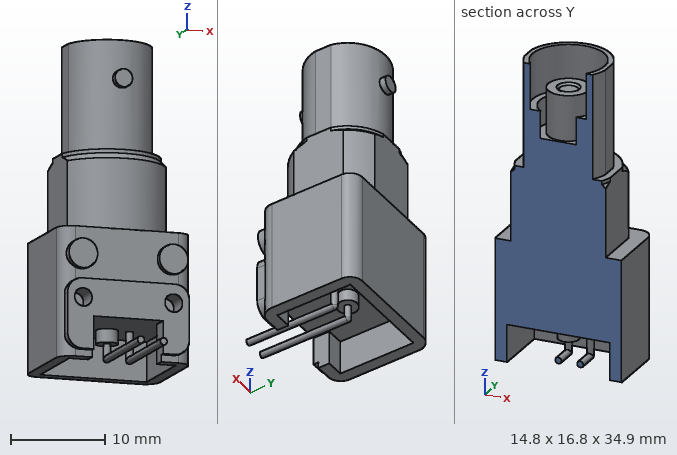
import cadquery as cq


HOUSING_WIDTH = 14.77
HOUSING_HEIGHT = 14.1
HOUSING_BACK = 5.75
HOUSING_CORNER_RADIUS = 1.6

COLLAR_RADIUS = 6.4
COLLAR_FLAT = 5.55
COLLAR_TOP = 22.87
RIM_RADIUS = 5.75
RIM_HEIGHT = 0.42
COLLAR_CHAMFER_HEIGHT = 0.65

TOTAL_HEIGHT = 34.92
BARREL_RADIUS = 4.82
BARREL_FLAT = 4.7
BAYONET_RADIUS = 0.98
BAYONET_REACH = 5.48
BAYONET_HEIGHT = 30.7

BORE_RADIUS = 4.2
BORE_DEPTH = 5.25
INNER_BORE_RADIUS = 3.35
INNER_BORE_DEPTH = 8.38
POST_RADIUS = 2.37
POST_RECESS = 3.15
SOCKET_MOUTH_RADIUS = 1.3
SOCKET_RADIUS = 1.05
SOCKET_CHAMFER_DEPTH = SOCKET_MOUTH_RADIUS - SOCKET_RADIUS

HOUSING_FRONT = -COLLAR_RADIUS
PAD_THICKNESS = 0.63
PAD_FACE = HOUSING_FRONT - PAD_THICKNESS
PAD_ROOT = HOUSING_FRONT + HOUSING_CORNER_RADIUS
FASTENER_SPACING = 10.15
PAD_RADIUS = 1.6
PAD_HEIGHT = 11.1
PLATE_WIDTH = 13.7
PLATE_BOTTOM = 0.77
PLATE_TOP = 8.38
PLATE_CORNER_RADIUS = 1.6
HOLE_RADIUS = 0.98
HOLE_HEIGHT = 6.32
HOLE_DEPTH = 2.8

WALL_THICKNESS = 1.4
NOTCH_WIDTH = 7.8
CAVITY_HEIGHT = 4.33

TERMINAL_RADIUS = 0.4
TERMINAL_HEIGHT = 1.25
TERMINAL_PITCH = 2.55
OVERALL_DEPTH = 16.8
TERMINAL_TIP = HOUSING_BACK - OVERALL_DEPTH
SLEEVE_RADIUS = 1.2
SLEEVE_BOTTOM = 2.85
ROOT_OVERLAP = 0.35


def box_between(x_range, y_range, z_range):
    """Axis-aligned block between the given limits."""
    sizes = [high - low for low, high in (x_range, y_range, z_range)]
    corner = (x_range[0], y_range[0], z_range[0])
    return cq.Workplane("XY").box(*sizes, centered=False).translate(corner)


def upright_cylinder(radius, bottom, top, x=0):
    """Cylinder parallel to Z, on the plane y = 0."""
    return cq.Workplane("XY", origin=(x, 0, bottom)).circle(radius).extrude(top - bottom)


def forward_cylinder(radius, x, z, back, front):
    """Cylinder parallel to Y, running from back toward -Y to front."""
    return cq.Workplane("XZ", origin=(x, back, z)).circle(radius).extrude(back - front)


def make_housing():
    half_width = HOUSING_WIDTH / 2
    block = box_between((-half_width, half_width), (HOUSING_FRONT, HOUSING_BACK), (0, HOUSING_HEIGHT))
    return block.edges("|Z").fillet(HOUSING_CORNER_RADIUS)


def make_collar():
    rim_bottom = COLLAR_TOP - RIM_HEIGHT
    chamfer_bottom = rim_bottom - COLLAR_CHAMFER_HEIGHT
    turned = (
        cq.Workplane("XZ")
        .moveTo(0, HOUSING_HEIGHT)
        .lineTo(COLLAR_RADIUS, HOUSING_HEIGHT)
        .lineTo(COLLAR_RADIUS, chamfer_bottom)
        .lineTo(RIM_RADIUS, rim_bottom)
        .lineTo(RIM_RADIUS, COLLAR_TOP)
        .lineTo(0, COLLAR_TOP)
        .close()
        .revolve(360, (0, 0), (0, 1))
    )
    flats = box_between(
        (-COLLAR_FLAT, COLLAR_FLAT), (-COLLAR_RADIUS, COLLAR_FLAT), (HOUSING_HEIGHT, COLLAR_TOP)
    )
    return turned.intersect(flats)


def make_barrel():
    tube = upright_cylinder(BARREL_RADIUS, COLLAR_TOP, TOTAL_HEIGHT)
    flats = box_between(
        (-BARREL_FLAT, BARREL_FLAT), (-BARREL_RADIUS, BARREL_RADIUS), (COLLAR_TOP, TOTAL_HEIGHT)
    )
    pins = forward_cylinder(BAYONET_RADIUS, 0, BAYONET_HEIGHT, BAYONET_REACH, -BAYONET_REACH)
    return tube.intersect(flats).union(pins)


def make_bore():
    outer = upright_cylinder(BORE_RADIUS, TOTAL_HEIGHT - BORE_DEPTH, TOTAL_HEIGHT)
    inner = upright_cylinder(INNER_BORE_RADIUS, TOTAL_HEIGHT - INNER_BORE_DEPTH, TOTAL_HEIGHT)
    return outer.union(inner)


def make_post():
    post_top = TOTAL_HEIGHT - POST_RECESS
    post = upright_cylinder(POST_RADIUS, TOTAL_HEIGHT - INNER_BORE_DEPTH - ROOT_OVERLAP, post_top)
    mouth = (
        cq.Workplane("XY", origin=(0, 0, post_top))
        .circle(SOCKET_MOUTH_RADIUS)
        .workplane(offset=-SOCKET_CHAMFER_DEPTH)
        .circle(SOCKET_RADIUS)
        .loft()
    )
    return post.cut(mouth)


def make_mounting_plate():
    half_width = PLATE_WIDTH / 2
    plate = box_between((-half_width, half_width), (PAD_FACE, PAD_ROOT), (PLATE_BOTTOM, PLATE_TOP))
    return plate.edges("|Y").fillet(PLATE_CORNER_RADIUS)


def make_terminal_space():
    """Cavity inside the housing walls together with the notch through the front wall and plate."""
    notch_side = NOTCH_WIDTH / 2
    cavity_side = HOUSING_WIDTH / 2 - WALL_THICKNESS
    cavity_front = HOUSING_FRONT + WALL_THICKNESS
    cavity_back = HOUSING_BACK - WALL_THICKNESS
    height_range = (0, CAVITY_HEIGHT)
    notch = box_between((-notch_side, notch_side), (PAD_FACE, cavity_front), height_range)
    cavity = box_between((-cavity_side, cavity_side), (cavity_front, cavity_back), height_range)
    return notch.union(cavity)


def make_terminal(x):
    """Round wire coming down from the cavity ceiling and turning forward."""
    drop = upright_cylinder(TERMINAL_RADIUS, TERMINAL_HEIGHT, CAVITY_HEIGHT + ROOT_OVERLAP, x)
    elbow = cq.Workplane("XY", origin=(x, 0, TERMINAL_HEIGHT)).sphere(TERMINAL_RADIUS)
    lead = forward_cylinder(TERMINAL_RADIUS, x, TERMINAL_HEIGHT, 0, TERMINAL_TIP)
    return drop.union(elbow).union(lead)


result = make_housing().union(make_collar()).union(make_barrel())
result = result.cut(make_bore()).union(make_post()).union(make_mounting_plate())

for side in (-1, 1):
    fastener_x = side * FASTENER_SPACING / 2
    result = result.union(forward_cylinder(PAD_RADIUS, fastener_x, PAD_HEIGHT, PAD_ROOT, PAD_FACE))
    hole_end = PAD_FACE + HOLE_DEPTH
    result = result.cut(forward_cylinder(HOLE_RADIUS, fastener_x, HOLE_HEIGHT, hole_end, PAD_FACE))

result = result.cut(make_terminal_space())
result = result.union(upright_cylinder(SLEEVE_RADIUS, SLEEVE_BOTTOM, CAVITY_HEIGHT + ROOT_OVERLAP))
for terminal_x in (0, TERMINAL_PITCH):
    result = result.union(make_terminal(terminal_x))